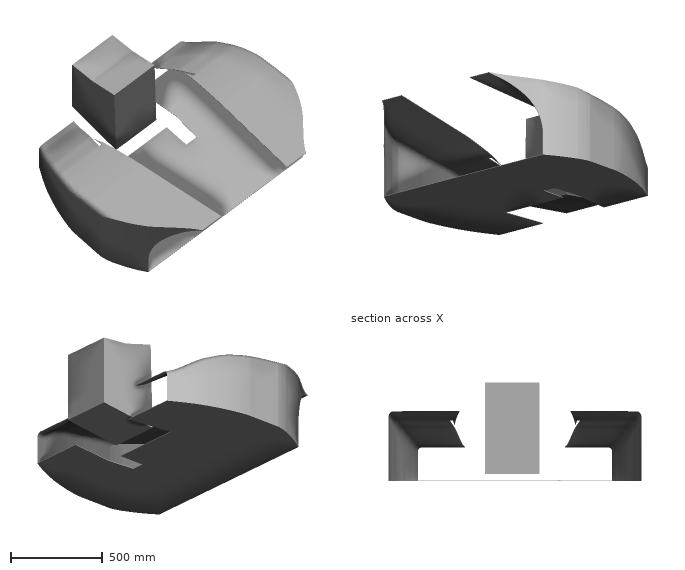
import cadquery as cq

overall_length = 1298.94
half_width = 695.0
sheet = 3.0
shoulder_radius = 30.0

body_front = 133.0
front_wall = [(body_front, 536.0), (163.0, 552.0), (200.0, 572.5), (270.0, 607.0),
              (345.0, 637.0), (478.0, 676.0), (606.0, half_width)]
tail_wall = [(807.0, half_width), (833.0, 690.0), (884.0, 674.0), (1055.0, 581.0),
             (1206.0, 453.0), (overall_length, 387.0)]
tail_end_slope = -0.5

tip_height = 459.0
roof_front = [(body_front, 187.0), (173.0, 200.0), (208.0, 219.0), (266.0, 256.0),
              (328.0, 293.0), (381.0, 315.0), (430.0, 335.0), (566.0, 367.0), (705.0, 390.5)]
roof_slope = (tip_height - roof_front[-1][1]) / (overall_length - roof_front[-1][0])

roof_front_corner = (body_front, 276.0)
slot_end_x = 430.0
slot_outer_y = 360.0
slot_inner_y = 342.0
strip_point = (361.0, 332.0)
tip_inner_y = 245.0

tail_end = 1064.0
tail_arch_radius = 354.0
tail_arch_height = 121.0

floor_lip_y = 218.0
floor_lip_slope = 0.123
floor_front = 412.0
notch_end = 572.0
notch_inner_y = 161.0
notch_peak_x = 392.0
notch_end_y = 236.0

box_width = 300.0
box_offset_y = -15.0
box_top_rear = 342.0
box_bottom_rear = 356.0
box_front_bottom = 80.0
box_front_top = 475.0
box_bend = (163.0, 490.0)
box_height = 540.78
box_rear_bottom = 38.0


def slopes_at(knots, end_slope):
    """Slope at each knot: the inner ones average the segments before and after them."""
    rises = [(q[1] - p[1]) / (q[0] - p[0]) for p, q in zip(knots, knots[1:])]
    inner = [(a + b) / 2 for a, b in zip(rises, rises[1:])]
    return [rises[0], *inner, end_slope]


def smooth_chain(path, knots, end_slope, drop):
    """Continue a sketch from the first knot through the others, one smooth curve per segment.

    `drop` lowers every point in the second coordinate.
    """
    slopes = slopes_at(knots, end_slope)
    for i in range(1, len(knots)):
        x, y = knots[i]
        path = path.spline(
            [(x, y - drop)],
            tangents=[(1, slopes[i - 1]), (1, slopes[i])],
            includeCurrent=True,
        )
    return path


def fender_block(inset):
    """Solid of the +Y side under the roof and inside the wall, with its skin moved inward by `inset`."""
    wall = cq.Workplane("XY").moveTo(body_front, 0).lineTo(body_front, front_wall[0][1] - inset)
    wall = smooth_chain(wall, front_wall, 0, inset)
    wall = wall.lineTo(overall_length, half_width - inset).lineTo(overall_length, 0).close()
    wall = wall.extrude(tip_height)

    roof = cq.Workplane("XZ").moveTo(body_front, 0).lineTo(body_front, roof_front[0][1] - inset)
    roof = smooth_chain(roof, roof_front, roof_slope, inset)
    roof = roof.lineTo(overall_length, tip_height - inset).lineTo(overall_length, 0).close()
    roof = roof.extrude(-2 * half_width)

    block = wall.intersect(roof)
    shoulder = []
    for edge in block.edges().vals():
        limits = edge.BoundingBox()
        if limits.zmin > sheet and limits.ymin > sheet:
            shoulder.append(edge)
    block = block.newObject(shoulder).fillet(shoulder_radius - inset)

    tail = cq.Workplane("XY").moveTo(body_front, 0).lineTo(body_front, half_width - inset)
    tail = tail.lineTo(tail_wall[0][0], half_width - inset)
    tail = smooth_chain(tail, tail_wall, tail_end_slope, inset).lineTo(overall_length, 0).close()
    return block.intersect(tail.extrude(tip_height))


def tail_arch():
    """Space behind the wall: straight up to the arch centre, then a round arch below the tip."""
    arch = (
        cq.Workplane("XZ")
        .moveTo(tail_end + tail_arch_radius, tail_arch_height)
        .circle(tail_arch_radius)
        .extrude(-half_width)
    )
    below = cq.Workplane("XY").box(tail_arch_radius, half_width, tail_arch_height, centered=False)
    return arch.union(below.translate((tail_end, 0, 0)))


def roof_keep():
    """Plan area outside the inner edge of the roof."""
    return (
        cq.Workplane("XY")
        .polyline([
            roof_front_corner,
            (slot_end_x, slot_outer_y),
            (slot_end_x, slot_inner_y),
            strip_point,
            (overall_length, tip_inner_y),
            (overall_length, half_width),
            (body_front, half_width),
        ])
        .close()
        .extrude(tip_height)
    )


outer_block = fender_block(0)
fender = outer_block.cut(fender_block(sheet)).intersect(roof_keep()).cut(tail_arch())

lip_rise = floor_lip_slope * (floor_front - body_front)
notch_peak_y = floor_lip_y + floor_lip_slope * (notch_peak_x - body_front)
floor_area = (
    cq.Workplane("XY")
    .polyline([
        (body_front, -half_width),
        (body_front, -floor_lip_y),
        (floor_front, -floor_lip_y - lip_rise),
        (floor_front, notch_inner_y),
        (notch_end, notch_inner_y),
        (notch_end, notch_end_y),
        (notch_peak_x, notch_peak_y),
        (body_front, floor_lip_y),
        (body_front, half_width),
        (tail_end, half_width),
        (tail_end, -half_width),
    ])
    .close()
    .extrude(sheet)
)
footprint = outer_block.union(outer_block.mirror("XZ"))
floor = floor_area.intersect(footprint)

shell = floor.union(fender).union(fender.mirror("XZ"))

box = (
    cq.Workplane("XZ", origin=(0, box_offset_y + box_width / 2, 0))
    .polyline([
        (0, box_front_bottom),
        (0, box_front_top),
        box_bend,
        (box_top_rear, box_height),
        (box_bottom_rear, box_rear_bottom),
    ])
    .close()
    .extrude(box_width)
)

result = cq.Compound.makeCompound([shell.val(), box.val()])